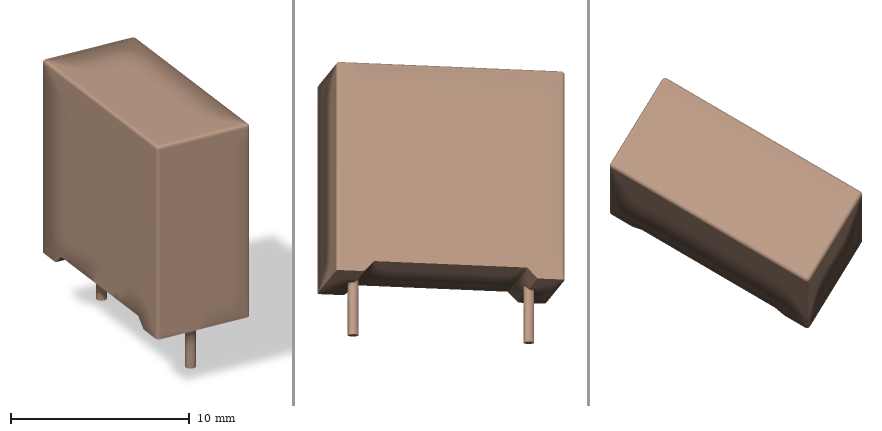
import cadquery as cq

CASE_LENGTH = 13.0
CASE_WIDTH = 6.0
OVERALL_HEIGHT = 15.0
PIN_PROJECTION = 3.0
CASE_HEIGHT = OVERALL_HEIGHT - PIN_PROJECTION
EDGE_RADIUS = 0.2

RECESS_DEPTH = 0.6
RECESS_TOP_LENGTH = 8.7
RECESS_FLARE = RECESS_DEPTH
RECESS_MOUTH_LENGTH = RECESS_TOP_LENGTH + 2 * RECESS_FLARE

PIN_DIAMETER = 0.6
PIN_PITCH = 10.0
PIN_LENGTH = PIN_PROJECTION + RECESS_DEPTH
PIN_POSITIONS = [-PIN_PITCH / 2, PIN_PITCH / 2]


def make_pin(x):
    """Round lead whose top is level with the recess ceiling; z = 0 is the foot level."""
    return cq.Workplane("XY", origin=(x, 0, -PIN_PROJECTION)).circle(PIN_DIAMETER / 2).extrude(PIN_LENGTH)


def make_recess():
    """Trapezoidal channel running through the full width of the case."""
    return (
        cq.Workplane("XZ")
        .moveTo(-RECESS_MOUTH_LENGTH / 2, 0)
        .lineTo(-RECESS_TOP_LENGTH / 2, RECESS_DEPTH)
        .lineTo(RECESS_TOP_LENGTH / 2, RECESS_DEPTH)
        .lineTo(RECESS_MOUTH_LENGTH / 2, 0)
        .close()
        .extrude(CASE_WIDTH / 2, both=True)
    )


def make_case(pins):
    """Box with rounded top and upright edges, a standoff recess and a seat for each pin."""
    case = cq.Workplane("XY").box(CASE_LENGTH, CASE_WIDTH, CASE_HEIGHT, centered=(True, True, False))
    case = case.edges("|Z or >Z").fillet(EDGE_RADIUS)
    case = case.cut(make_recess())
    for pin in pins:
        case = case.cut(pin)
    return case


pins = [make_pin(x) for x in PIN_POSITIONS]
case = make_case(pins)

result = cq.Compound.makeCompound([case.val(), *[pin.val() for pin in pins]])